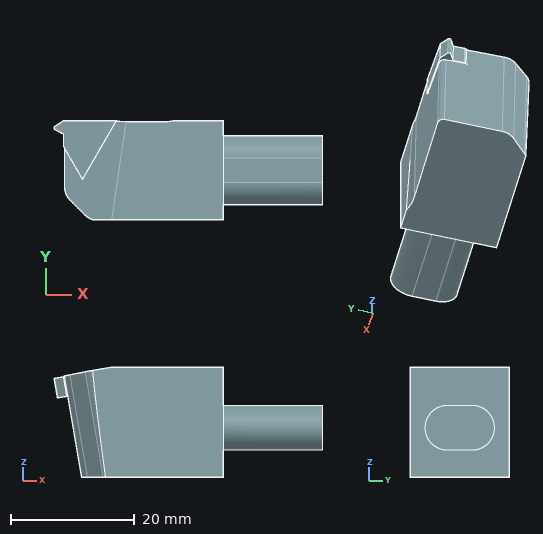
import cadquery as cq
import math

total_length = 43.35
width = 16.0
height = 17.8
block_end_x = 27.35

crease_front_x = 9.3
crease_back_x = 11.65
rake_angle = 9.8

nose_x = 1.7
chamfer_corner_y = 4.07
outline_front_y = -0.15
outline_back_y = 15.85
corner_radius = 3.0
back_corner_radius = 0.9
cut_depth = 26.0

runout_start_x = 17.55
runout_radius = 6.5
runout_sweep = 60.0

shank_thickness = 7.25
shank_width = 11.2
shank_center_y = width / 2
shank_center_z = 8.0

insert_thickness = 3.2
insert_proud = 0.15
insert_left_x = 1.5
insert_right_x = 10.05
insert_apex_x = 4.6
insert_apex_y = width - (insert_right_x - insert_apex_x) * math.tan(math.radians(60))
tip_center_y = 14.8
tip_half_width = 0.25
tip_nose = 0.15
tip_root_y = 13.82
insert_edge_end_y = insert_apex_y + (insert_apex_x - insert_left_x) * math.tan(math.radians(60))


def rake_plane(raise_by=0.0):
    """Plane of the rake face; local X runs up the slope and local Y along the crease."""
    skew = math.atan2(crease_back_x - crease_front_x, width)
    angle = math.radians(rake_angle)
    uphill = (math.cos(skew) * math.cos(angle), -math.sin(skew) * math.cos(angle), math.sin(angle))
    normal = (-math.cos(skew) * math.sin(angle), math.sin(skew) * math.sin(angle), math.cos(angle))
    return cq.Plane(origin=(crease_front_x, 0, height + raise_by), xDir=uphill, normal=normal)


def on_plane(plane, x, y):
    """Local coordinates of the plane point directly above or below (x, y)."""
    origin = plane.origin
    normal = plane.zDir
    z = origin.z - (normal.x * (x - origin.x) + normal.y * (y - origin.y)) / normal.z
    local = plane.toLocalCoords(cq.Vector(x, y, z))
    return (local.x, local.y)


def make_outline_prism():
    """Prism square to the rake face that gives the nose its slope, corners and back clearance."""
    plane = rake_plane()
    far_x = 2 * total_length
    chamfer_end_x = nose_x + chamfer_corner_y - outline_front_y

    def at(x, y):
        return cq.Vector(*on_plane(plane, x, y))

    def on_runout(sweep):
        angle = math.radians(sweep)
        x = runout_start_x + runout_radius * math.sin(angle)
        y = outline_back_y + runout_radius * (1 - math.cos(angle))
        return x, y

    runout_end = on_runout(runout_sweep)
    points = [
        (runout_start_x, outline_back_y),
        (nose_x, outline_back_y),
        (nose_x, chamfer_corner_y),
        (chamfer_end_x, outline_front_y),
        (far_x, outline_front_y),
        (far_x, runout_end[1]),
        runout_end,
    ]
    corners = [at(x, y) for x, y in points]
    straight_edges = [cq.Edge.makeLine(start, end) for start, end in zip(corners, corners[1:])]
    runout = cq.Edge.makeThreePointArc(corners[-1], at(*on_runout(runout_sweep / 2)), corners[0])
    face = cq.Face.makeFromWires(cq.Wire.assembleEdges([*straight_edges, runout]))

    rounded_corners = [
        (corners[1], back_corner_radius),
        (corners[2], corner_radius),
        (corners[3], corner_radius),
    ]
    for corner, radius in rounded_corners:
        vertex = min(face.Vertices(), key=lambda candidate: (candidate.Center() - corner).Length)
        face = face.fillet2D(radius, [vertex])
    outline = cq.Workplane(plane).placeSketch(cq.Sketch().face(face))
    return outline.extrude(cut_depth, both=True)


def make_rake_cutter():
    """Everything above the rake face on the nose side of the crease."""
    return cq.Workplane(rake_plane()).rect(4 * total_length, 4 * total_length).extrude(cut_depth)


def make_shank():
    return (
        cq.Workplane("YZ", origin=(block_end_x, shank_center_y, shank_center_z))
        .slot2D(shank_width, shank_thickness)
        .extrude(total_length - block_end_x)
    )


def make_insert():
    plane = rake_plane(insert_proud)

    def at(x, y):
        return on_plane(plane, x, y)

    return (
        cq.Workplane(plane)
        .moveTo(*at(tip_nose, tip_center_y - tip_half_width))
        .threePointArc(at(0, tip_center_y), at(tip_nose, tip_center_y + tip_half_width))
        .lineTo(*at(insert_left_x, width))
        .lineTo(*at(insert_right_x, width))
        .lineTo(*at(insert_apex_x, insert_apex_y))
        .lineTo(*at(insert_left_x, insert_edge_end_y))
        .lineTo(*at(insert_left_x, tip_root_y))
        .close()
        .extrude(-insert_thickness)
    )


def make_holder(insert):
    block = cq.Workplane("XY").box(block_end_x, width, height, centered=False)
    head = block.intersect(make_outline_prism()).cut(make_rake_cutter())
    return head.union(make_shank()).cut(insert)


insert = make_insert()
holder = make_holder(insert)

result = cq.Compound.makeCompound([holder.solids().val(), insert.val()])